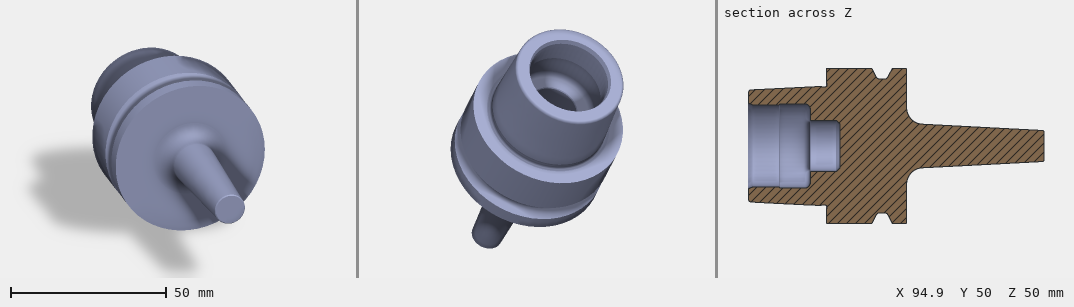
import cadquery as cq
import math


total_length = 94.9

shank_end_radius = 18.0
taper_slope = 1 / 20
taper_length = 23.1
shank_edge_round = 0.95
neck_start = 23.6
neck_radius = 19.1
neck_blend = 1.1

flange_diameter = 50.0
flange_radius = flange_diameter / 2
flange_back = 25.0
flange_front = 50.9
relief_outer_radius = 20.5
relief_corner_radius = 19.1
relief_angle = math.radians(20)
relief_round = 0.6

groove_center = 42.9
groove_floor_radius = 21.6
groove_mouth_width = 6.55
groove_wall_angle = math.radians(63)
groove_round = 0.8

nose_tip_radius = 5.0
nose_angle = math.radians(3)
nose_root_round = 5.1
tip_chamfer = 0.3

mouth_radius = 13.7
mouth_chamfer_length = 1.4
bore_radius = 13.1
shoulder_start = 10.0
shoulder_angle = math.radians(60)
cavity_radius = 13.5
cavity_depth = 19.8
cavity_floor_round = 1.8

pocket_rim_radius = 8.35
pocket_radius = 8.1
pocket_depth = 9.5
pocket_end_radius = 7.0


def turned_solid(corners):
    """Revolve a profile about X; each corner is (x, radius, rounding), zero rounding is sharp."""
    first_x, first_radius, _ = corners[0]
    profile = cq.Workplane("XY").moveTo(first_x, first_radius)
    for before, corner, after in zip(corners, corners[1:], corners[2:]):
        point = cq.Vector(corner[0], corner[1])
        rounding = corner[2]
        if rounding == 0:
            profile = profile.lineTo(point.x, point.y)
            continue
        toward_before = (cq.Vector(before[0], before[1]) - point).normalized()
        toward_after = (cq.Vector(after[0], after[1]) - point).normalized()
        half_angle = toward_before.getAngle(toward_after) / 2
        bisector = (toward_before + toward_after).normalized()
        setback = rounding / math.tan(half_angle)
        arc_start = point + toward_before * setback
        arc_middle = point + bisector * (rounding / math.sin(half_angle) - rounding)
        arc_end = point + toward_after * setback
        profile = profile.lineTo(arc_start.x, arc_start.y)
        profile = profile.threePointArc((arc_middle.x, arc_middle.y), (arc_end.x, arc_end.y))
    last_x, last_radius, _ = corners[-1]
    profile = profile.lineTo(last_x, last_radius).close()
    return profile.revolve(360, (0, 0, 0), (1, 0, 0))


def holder_body():
    taper_end_radius = shank_end_radius + taper_length * taper_slope
    relief_depth = (relief_outer_radius - relief_corner_radius) * math.tan(relief_angle)
    groove_run = (flange_radius - groove_floor_radius) / math.tan(groove_wall_angle)
    groove_half_mouth = groove_mouth_width / 2
    groove_half_floor = groove_half_mouth - groove_run
    nose_root_radius = nose_tip_radius + (total_length - flange_front) * math.tan(nose_angle)
    chamfer_base_radius = nose_tip_radius + tip_chamfer * math.tan(nose_angle)

    return turned_solid([
        (0, 0, 0),
        (0, shank_end_radius, shank_edge_round),
        (taper_length, taper_end_radius, 0),
        (neck_start, neck_radius, neck_blend),
        (flange_back + relief_depth, relief_corner_radius, relief_round),
        (flange_back, relief_outer_radius, 0),
        (flange_back, flange_radius, 0),
        (groove_center - groove_half_mouth, flange_radius, 0),
        (groove_center - groove_half_floor, groove_floor_radius, groove_round),
        (groove_center + groove_half_floor, groove_floor_radius, groove_round),
        (groove_center + groove_half_mouth, flange_radius, 0),
        (flange_front, flange_radius, 0),
        (flange_front, nose_root_radius, nose_root_round),
        (total_length - tip_chamfer, chamfer_base_radius, 0),
        (total_length, nose_tip_radius - tip_chamfer, 0),
        (total_length, 0, 0),
    ])


def clamping_cavity():
    shoulder_run = (cavity_radius - bore_radius) / math.tan(shoulder_angle)
    return turned_solid([
        (0, 0, 0),
        (0, mouth_radius, 0),
        (mouth_chamfer_length, bore_radius, 0),
        (shoulder_start, bore_radius, 0),
        (shoulder_start + shoulder_run, cavity_radius, 0),
        (cavity_depth, cavity_radius, cavity_floor_round),
        (cavity_depth, 0, 0),
    ])


def floor_pocket():
    rim_chamfer = pocket_rim_radius - pocket_radius
    end_chamfer = pocket_radius - pocket_end_radius
    pocket_end = cavity_depth + pocket_depth
    return turned_solid([
        (cavity_depth, 0, 0),
        (cavity_depth, pocket_rim_radius, 0),
        (cavity_depth + rim_chamfer, pocket_radius, 0),
        (pocket_end - end_chamfer, pocket_radius, 0),
        (pocket_end, pocket_end_radius, 0),
        (pocket_end, 0, 0),
    ])


result = holder_body().cut(clamping_cavity()).cut(floor_pocket())